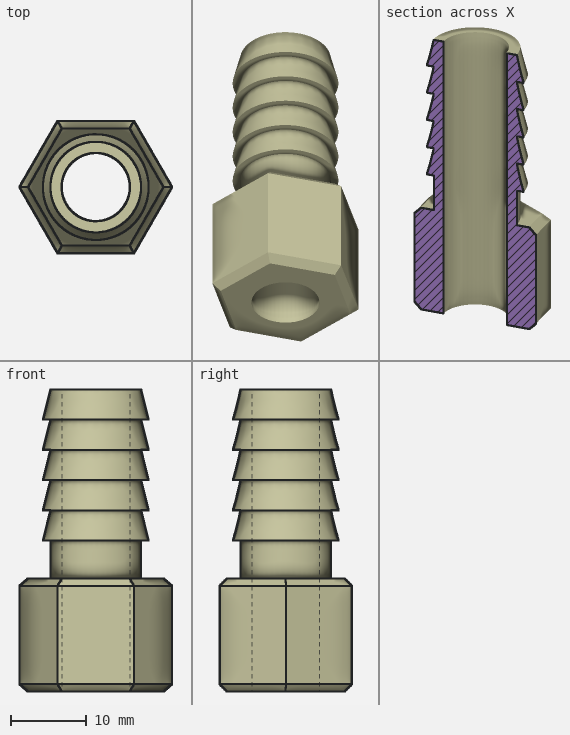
import cadquery as cq
import math

total_height = 40.0
hex_across_flats = 17.5
hex_height = 15.0
hex_chamfer = 1.0
bore_diameter = 9.0
stem_diameter = 12.0
barb_diameter = 14.0
barb_count = 5
barb_length = 4.0

hex_across_corners = hex_across_flats / math.cos(math.radians(30))
stem_radius = stem_diameter / 2
barb_radius = barb_diameter / 2
barbs_bottom = total_height - barb_count * barb_length


def make_hex_base():
    """Hexagonal nut with corners on X and every end edge chamfered."""
    prism = cq.Workplane("XY").polygon(6, hex_across_corners).extrude(hex_height)
    return prism.faces("<Z or >Z").chamfer(hex_chamfer)


def make_barbed_stem():
    """Plain neck followed by barbs that taper towards the hose end."""
    profile = cq.Workplane("XZ").lineTo(stem_radius, 0).lineTo(stem_radius, barbs_bottom)
    for index in range(barb_count):
        barb_bottom = barbs_bottom + index * barb_length
        profile = profile.lineTo(barb_radius, barb_bottom)
        profile = profile.lineTo(stem_radius, barb_bottom + barb_length)
    profile = profile.lineTo(0, total_height).close()
    return profile.revolve(360, (0, 0, 0), (0, 1, 0))


def make_bore():
    """Straight passage through the full height."""
    return cq.Workplane("XY").circle(bore_diameter / 2).extrude(total_height)


result = make_hex_base().union(make_barbed_stem()).cut(make_bore())